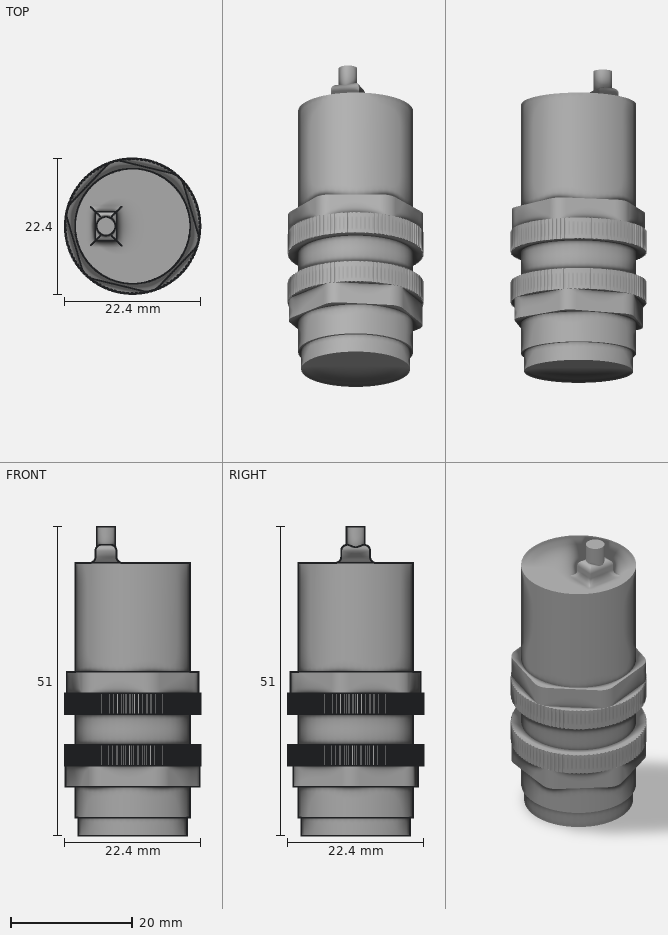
import cadquery as cq
import math

housing_diameter = 19.0
nose_diameter = 18.0
nose_height = 3.0
housing_top = 45.0

cable_diameter = 3.08
cable_x = -4.4
cable_top = 51.0
relief_width = 3.5
relief_depth = 4.8
relief_height = 3.0
relief_radius = 1.0

flange_diameter = 22.4
flange_thickness = 3.5
hex_sides = 6
hex_across_flats = 20.0
hex_height = 3.5
hex_corner_radius = 2.75
groove_count = 100
groove_width = 0.3
groove_depth = 0.15

lower_flange_z = 11.55
lower_flat_angle = -94.43
upper_flange_z = 20.05
upper_flat_angle = -43.57


def relief_profile(plane, width, length):
    """Bar with coved feet and rounded shoulders, extruded symmetrically along the plane normal."""
    r = relief_radius
    half = width / 2
    diagonal = r * math.sqrt(0.5)
    shoulder = relief_height - r
    return (
        cq.Workplane(plane, origin=(cable_x, 0, housing_top))
        .moveTo(-half - r, 0)
        .lineTo(half + r, 0)
        .threePointArc((half + r - diagonal, r - diagonal), (half, r))
        .lineTo(half, shoulder)
        .threePointArc((half - r + diagonal, shoulder + diagonal), (half - r, relief_height))
        .lineTo(r - half, relief_height)
        .threePointArc((r - half - diagonal, shoulder + diagonal), (-half, shoulder))
        .lineTo(-half, r)
        .threePointArc((diagonal - half - r, r - diagonal), (-half - r, 0))
        .close()
        .extrude(length / 2, both=True)
    )


def make_strain_relief():
    """Two crossing bars leave mitred corners where their coves and shoulders meet."""
    foot_width = relief_width + 2 * relief_radius
    foot_depth = relief_depth + 2 * relief_radius
    along_y = relief_profile("XZ", relief_width, foot_depth)
    along_x = relief_profile("YZ", relief_depth, foot_width)
    return along_y.intersect(along_x)


def make_sensor():
    nose = cq.Workplane("XY").circle(nose_diameter / 2).extrude(nose_height)
    housing = (
        cq.Workplane("XY", origin=(0, 0, nose_height))
        .circle(housing_diameter / 2)
        .extrude(housing_top - nose_height)
    )
    cable = (
        cq.Workplane("XY", origin=(cable_x, 0, housing_top))
        .circle(cable_diameter / 2)
        .extrude(cable_top - housing_top)
    )
    return nose.union(housing).union(make_strain_relief()).union(cable)


def knurled_flange(bottom_z):
    """Disc whose rim is cut by evenly spaced square grooves, the first one facing +X."""
    outer = flange_diameter / 2
    inner = outer - groove_depth
    half_groove = math.asin(groove_width / flange_diameter)
    pitch = 2 * math.pi / groove_count

    def point(radius, angle):
        return (radius * math.cos(angle), radius * math.sin(angle))

    rim = cq.Workplane("XY", origin=(0, 0, bottom_z)).moveTo(*point(inner, -half_groove))
    for index in range(groove_count):
        middle = index * pitch
        groove_end = middle + half_groove
        land_end = middle + pitch - half_groove
        rim = (
            rim.threePointArc(point(inner, middle), point(inner, groove_end))
            .lineTo(*point(outer, groove_end))
            .threePointArc(point(outer, middle + pitch / 2), point(outer, land_end))
            .lineTo(*point(inner, land_end))
        )
    return rim.close().extrude(flange_thickness)


def hexagon(bottom_z):
    """Hexagonal prism with rounded corners and one flat facing +X."""
    across_corners = hex_across_flats / math.cos(math.pi / hex_sides)
    return (
        cq.Workplane("XY", origin=(0, 0, bottom_z))
        .transformed(rotate=(0, 0, 180 / hex_sides))
        .polygon(hex_sides, across_corners)
        .extrude(hex_height)
        .edges("|Z")
        .fillet(hex_corner_radius)
    )


def make_nut(flange_z, hex_z, flat_angle):
    nut = knurled_flange(flange_z).union(hexagon(hex_z))
    bore = (
        cq.Workplane("XY", origin=(0, 0, min(flange_z, hex_z)))
        .circle(housing_diameter / 2)
        .extrude(flange_thickness + hex_height)
    )
    return nut.cut(bore).rotate((0, 0, 0), (0, 0, 1), flat_angle)


sensor = make_sensor()

nut_placements = [
    (lower_flange_z, lower_flange_z - hex_height, lower_flat_angle),
    (upper_flange_z, upper_flange_z + flange_thickness, upper_flat_angle),
]
nuts = [make_nut(*placement) for placement in nut_placements]

result = cq.Compound.makeCompound([sensor.val(), *[nut.val() for nut in nuts]])